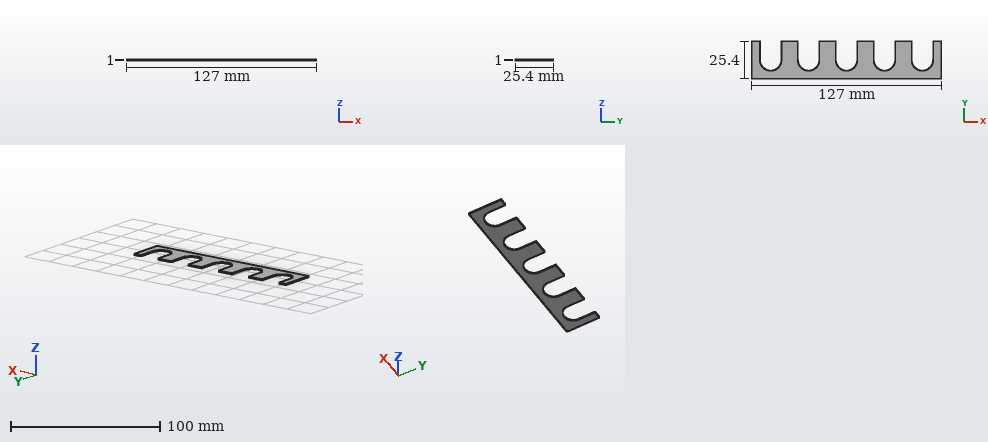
import cadquery as cq

length = 127.0
depth = 25.4
thickness = 1.0
slot_count = 5
slot_width = 14.2

pitch = length / slot_count
slot_radius = slot_width / 2
floor_web = (pitch - slot_width) / 2
slot_center_y = floor_web + slot_radius


def slot_cutter(center_x):
    """Slot running from its round bottom out through the +Y edge."""
    left = center_x - slot_radius
    right = center_x + slot_radius
    return (
        cq.Workplane("XY")
        .moveTo(left, depth)
        .lineTo(left, slot_center_y)
        .threePointArc((center_x, floor_web), (right, slot_center_y))
        .lineTo(right, depth)
        .close()
        .extrude(thickness)
    )


result = cq.Workplane("XY").box(length, depth, thickness, centered=False)
for index in range(slot_count):
    result = result.cut(slot_cutter((index + 0.5) * pitch))